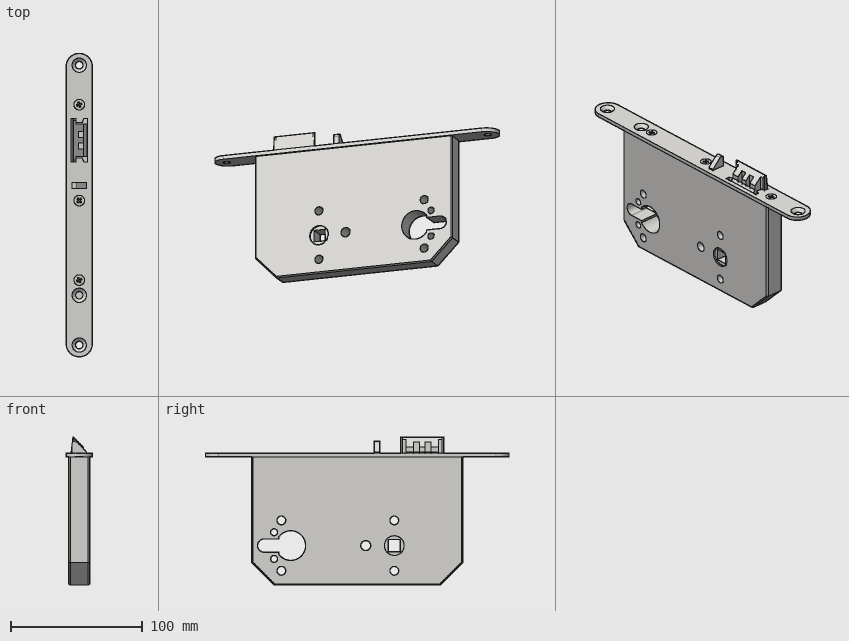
import cadquery as cq
import math


PLATE_LENGTH = 230.0
PLATE_WIDTH = 20.0
PLATE_THICKNESS = 3.0
MOUNT_HOLES_Y = (106.0, -68.3, -106.0)
MOUNT_HOLE_DIAMETER = 5.5
COUNTERSINK_DIAMETER = 10.8
COUNTERSINK_ANGLE = 90.0

SCREWS = ((76.1, 20.0), (3.5, 45.0), (-56.8, 25.0))
SCREW_HEAD_DIAMETER = 8.0
SCREW_SHANK_DIAMETER = 4.0
CROSS_LENGTH = 4.1
CROSS_WIDTH = 1.0
CROSS_DEPTH = 1.4

CASE_THICKNESS = 16.0
CASE_LENGTH = 160.0
CASE_BOTTOM = -100.0
CORNER_CUT_Y = 17.0
CORNER_CUT_Z = 17.0
BEVEL_THICKNESS = 1.4
BEVEL_FACE = 1.0

AXIS_Z = -70.2
SPINDLE_Y = 28.0
SPINDLE_SQUARE = 9.0
FOLLOWER_DIAMETER = 15.0
FOLLOWER_RECESS = 1.4
FIXING_HOLE_DIAMETER = 6.5
FIXING_HOLE_OFFSET = 19.0
CENTER_HOLE_Y = 6.5
CENTER_HOLE_DIAMETER = 7.4

CYLINDER_Y = -50.4
CYLINDER_DIAMETER = 22.3
CYLINDER_SHOULDER = 9.0
KEY_SLOT_WIDTH = 10.0
KEY_SLOT_END = -75.5
CYLINDER_FIXING_Y = -57.5
SMALL_HOLE_Y = -63.0
SMALL_HOLE_DIAMETER = 5.0
SMALL_HOLE_OFFSET = 10.1

LATCH_Y = 49.2
LATCH_LENGTH = 33.0
LATCH_HEIGHT = 12.0
LATCH_ROOT_X = -6.2
LATCH_PEAK_X = -4.8
LATCH_PEAK_WIDTH = 0.5
LATCH_WEDGE_X = 3.2
LATCH_LIP_TOP = 1.0
LATCH_LIP_FOOT_X = 6.0
LATCH_END_STEPS = ((-4.1, 1.4), (-2.5, 4.1))
POCKET_X = -0.7
POCKET_LENGTH = 4.4
POCKET_OFFSET = 4.4
OPENING_SIDE_X = 6.2
TAB_DEPTH = 3.0
TAB_LEFT_X = LATCH_END_STEPS[-1][0]
TAB_TIP_RIGHT_X = 2.3
TAB_ROOT_RIGHT_X = 3.5

PIN_Y = 15.0
PIN_WIDTH = 4.4
PIN_LENGTH = 11.0
PIN_APEX = 12.0
PIN_FOOT = 1.0
PIN_NOSE_RADIUS = 2.0


def box_between(x_range, y_range, z_range):
    """Box given by its limits along each axis."""
    sizes = [high - low for low, high in (x_range, y_range, z_range)]
    lows = (x_range[0], y_range[0], z_range[0])
    return cq.Workplane("XY").box(*sizes, centered=False).translate(lows)


def extrude_along_y(points, center_y, length):
    """Prism of an XZ outline, centred on center_y."""
    outline = cq.Workplane("XZ", origin=(0, center_y, 0)).polyline(points).close()
    return outline.extrude(length / 2, both=True)


def through_hole(y, z, diameter):
    """Cutter along X through the whole case."""
    plane = cq.Workplane("YZ", origin=(0, y, z))
    return plane.circle(diameter / 2).extrude(CASE_THICKNESS, both=True)



def make_latch():
    peak_right = LATCH_PEAK_X + LATCH_PEAK_WIDTH
    wedge_foot = LATCH_HEIGHT - (LATCH_WEDGE_X - peak_right)
    profile = [
        (LATCH_ROOT_X, -PLATE_THICKNESS),
        (LATCH_ROOT_X, 0),
        (LATCH_PEAK_X, LATCH_HEIGHT),
        (peak_right, LATCH_HEIGHT),
        (LATCH_WEDGE_X, wedge_foot),
        (LATCH_WEDGE_X, LATCH_LIP_TOP),
        (LATCH_LIP_FOOT_X, -PLATE_THICKNESS),
    ]
    latch = extrude_along_y(profile, LATCH_Y, LATCH_LENGTH)
    z_range = (-PLATE_THICKNESS, LATCH_HEIGHT)
    for side in (-1, 1):
        for step_x, setback in LATCH_END_STEPS:
            step_y = LATCH_Y + side * (LATCH_LENGTH - setback) / 2
            step_range = (step_y - setback / 2, step_y + setback / 2)
            latch = latch.cut(box_between((step_x, LATCH_LIP_FOOT_X), step_range, z_range))
        pocket_y = LATCH_Y + side * POCKET_OFFSET
        pocket_range = (pocket_y - POCKET_LENGTH / 2, pocket_y + POCKET_LENGTH / 2)
        latch = latch.cut(box_between((POCKET_X, LATCH_WEDGE_X), pocket_range, z_range))
    return latch


def make_pin():
    half = PIN_LENGTH / 2
    profile = [
        (-half, -PLATE_THICKNESS),
        (half, -PLATE_THICKNESS),
        (half, PIN_FOOT),
        (-half, PIN_APEX),
    ]
    pin = extrude_along_y(profile, PIN_Y, PIN_WIDTH)
    return pin.edges(">Z").fillet(PIN_NOSE_RADIUS)



def make_case_block():
    half = CASE_LENGTH / 2
    core_half = CASE_THICKNESS / 2 - BEVEL_THICKNESS
    outline = [
        (-half, 0),
        (half, 0),
        (half, CASE_BOTTOM + CORNER_CUT_Z),
        (half - CORNER_CUT_Y, CASE_BOTTOM),
        (CORNER_CUT_Y - half, CASE_BOTTOM),
        (-half, CASE_BOTTOM + CORNER_CUT_Z),
    ]
    block = cq.Workplane("YZ").polyline(outline).close().extrude(core_half, both=True)
    bevel_angle = math.degrees(math.atan2(BEVEL_FACE, BEVEL_THICKNESS))
    face = cq.Workplane("YZ", origin=(core_half, 0, 0)).polyline(outline).close()
    cover = face.extrude(BEVEL_THICKNESS, taper=bevel_angle)
    block = block.union(cover).union(cover.mirror("YZ"))
    trim = box_between((-CASE_THICKNESS, CASE_THICKNESS), (-CASE_LENGTH, CASE_LENGTH), (-PLATE_THICKNESS, 0))
    return block.cut(trim)


def spindle_cutter():
    square = cq.Workplane("YZ", origin=(0, SPINDLE_Y, AXIS_Z)).rect(SPINDLE_SQUARE, SPINDLE_SQUARE)
    cutter = square.extrude(CASE_THICKNESS, both=True)
    floor = CASE_THICKNESS / 2 - FOLLOWER_RECESS
    for side in (-1, 1):
        recess = cq.Workplane("YZ", origin=(side * floor, SPINDLE_Y, AXIS_Z)).circle(FOLLOWER_DIAMETER / 2)
        cutter = cutter.union(recess.extrude(side * FOLLOWER_RECESS))
    return cutter


def keyhole_cutter():
    x_range = (-CASE_THICKNESS, CASE_THICKNESS)
    radius = CYLINDER_DIAMETER / 2
    slot_radius = KEY_SLOT_WIDTH / 2
    shoulder_y = CYLINDER_Y - CYLINDER_SHOULDER
    bore_limits = box_between(x_range, (shoulder_y, CYLINDER_Y + radius), (AXIS_Z - radius, AXIS_Z + radius))
    bore = through_hole(CYLINDER_Y, AXIS_Z, CYLINDER_DIAMETER).intersect(bore_limits)
    end_center_y = KEY_SLOT_END + slot_radius
    slot = box_between(x_range, (end_center_y, CYLINDER_Y), (AXIS_Z - slot_radius, AXIS_Z + slot_radius))
    return bore.union(slot).union(through_hole(end_center_y, AXIS_Z, KEY_SLOT_WIDTH))


def make_case():
    case = make_case_block().cut(spindle_cutter()).cut(keyhole_cutter())
    case = case.cut(through_hole(CENTER_HOLE_Y, AXIS_Z, CENTER_HOLE_DIAMETER))
    for side in (-1, 1):
        for y in (SPINDLE_Y, CYLINDER_FIXING_Y):
            case = case.cut(through_hole(y, AXIS_Z + side * FIXING_HOLE_OFFSET, FIXING_HOLE_DIAMETER))
        case = case.cut(through_hole(SMALL_HOLE_Y, AXIS_Z + side * SMALL_HOLE_OFFSET, SMALL_HOLE_DIAMETER))
    return case.union(make_latch()).union(make_pin())



def screw_blank(y):
    """Countersunk head and shank, flush with both sides of the faceplate."""
    head_radius = SCREW_HEAD_DIAMETER / 2
    shank_radius = SCREW_SHANK_DIAMETER / 2
    half_section = [
        (0, 0),
        (head_radius, 0),
        (shank_radius, shank_radius - head_radius),
        (shank_radius, -PLATE_THICKNESS),
        (0, -PLATE_THICKNESS),
    ]
    blank = cq.Workplane("XZ").polyline(half_section).close().revolve(360, (0, 0, 0), (0, 1, 0))
    return blank.translate((0, y, 0))


def make_screw(y, turn):
    cross = cq.Workplane("XY").rect(CROSS_LENGTH, CROSS_WIDTH).extrude(-CROSS_DEPTH)
    cross = cross.union(cross.rotate((0, 0, 0), (0, 0, 1), 90))
    cross = cross.rotate((0, 0, 0), (0, 0, 1), turn).translate((0, y, 0))
    return screw_blank(y).cut(cross)



def latch_opening():
    """Opening around the latch, narrowed at both ends by a tab."""
    half = LATCH_LENGTH / 2
    tip = half - TAB_DEPTH
    upper = [
        (LATCH_ROOT_X, half),
        (TAB_LEFT_X, half),
        (TAB_LEFT_X, tip),
        (TAB_TIP_RIGHT_X, tip),
        (TAB_ROOT_RIGHT_X, half),
        (OPENING_SIDE_X, half),
    ]
    lower = [(x, -y) for x, y in reversed(upper)]
    outline = cq.Workplane("XY", origin=(0, LATCH_Y, 0)).polyline(upper + lower).close()
    return outline.extrude(-PLATE_THICKNESS)


def make_faceplate():
    plate = cq.Workplane("XY").slot2D(PLATE_LENGTH, PLATE_WIDTH, 90).extrude(-PLATE_THICKNESS)
    mounts = plate.faces(">Z").workplane(origin=(0, 0, 0)).pushPoints([(0, y) for y in MOUNT_HOLES_Y])
    plate = mounts.cskHole(MOUNT_HOLE_DIAMETER, COUNTERSINK_DIAMETER, COUNTERSINK_ANGLE)
    for y, _ in SCREWS:
        plate = plate.cut(screw_blank(y))
    half_pin = PIN_LENGTH / 2
    pin_slot = box_between(
        (-half_pin, half_pin), (PIN_Y - PIN_WIDTH / 2, PIN_Y + PIN_WIDTH / 2), (-PLATE_THICKNESS, 0)
    )
    return plate.cut(latch_opening()).cut(pin_slot)


lock_case = make_case()
faceplate = make_faceplate()
screws = [make_screw(y, turn) for y, turn in SCREWS]

result = cq.Compound.makeCompound(
    [lock_case.val(), faceplate.val(), *[screw.val() for screw in screws]]
)